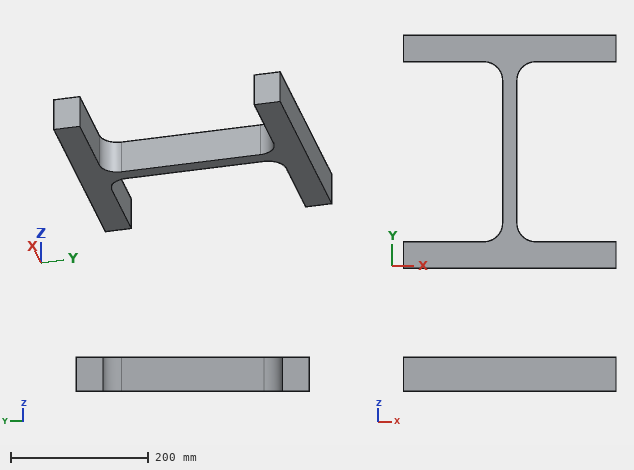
import cadquery as cq

flange_width = 310.0
section_depth = 340.0
slice_length = 50.0

flange_thickness = 39.0
web_thickness = 21.0
root_radius = 27.0

flange_offset = (section_depth - flange_thickness) / 2


def make_flange(side):
    """Flange across X, at the +Y (side = 1) or -Y (side = -1) end."""
    return (
        cq.Workplane("XY")
        .box(flange_width, flange_thickness, slice_length)
        .translate((0, side * flange_offset, 0))
    )


web_height = section_depth - 2 * flange_thickness
web = cq.Workplane("XY").box(web_thickness, web_height, slice_length)
section = web.union(make_flange(1)).union(make_flange(-1))

root_corners = cq.selectors.BoxSelector(
    (-web_thickness, -section_depth / 2 + flange_thickness / 2, -slice_length),
    (web_thickness, section_depth / 2 - flange_thickness / 2, slice_length),
)
result = section.edges("|Z").edges(root_corners).fillet(root_radius)